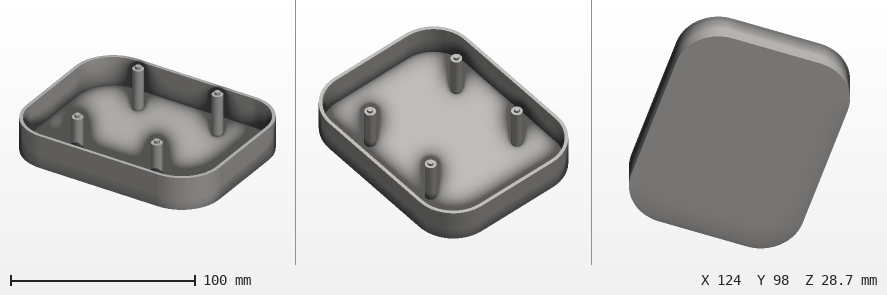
import cadquery as cq

length = 124.0
width = 98.0
tray_height = 20.0
corner_radius = 24.0
wall = 2.0
floor_thickness = 2.0

post_diameter = 6.4
pin_diameter = 3.2
post_top = 27.0
pin_top = 28.7
post_spacing_x = 50.9
post_spacing_y = 61.0


def rounded_block(size_x, size_y, height, radius):
    """Block standing on Z = 0 with rounded vertical edges."""
    block = cq.Workplane("XY").box(size_x, size_y, height, centered=(True, True, False))
    return block.edges("|Z").fillet(radius)


def make_tray():
    """Open tray with a flat floor and an even wall."""
    outer = rounded_block(length, width, tray_height, corner_radius)
    cavity = rounded_block(
        length - 2 * wall,
        width - 2 * wall,
        tray_height - floor_thickness,
        corner_radius - wall,
    )
    return outer.cut(cavity.translate((0, 0, floor_thickness)))


def make_columns(diameter, top):
    """Four cylinders rising from the underside of the floor to the given height."""
    return (
        cq.Workplane("XY")
        .rect(post_spacing_x, post_spacing_y, forConstruction=True)
        .vertices()
        .circle(diameter / 2)
        .extrude(top)
    )


tray = make_tray()
posts = make_columns(post_diameter, post_top)
pins = make_columns(pin_diameter, pin_top)

result = tray.union(posts).union(pins)